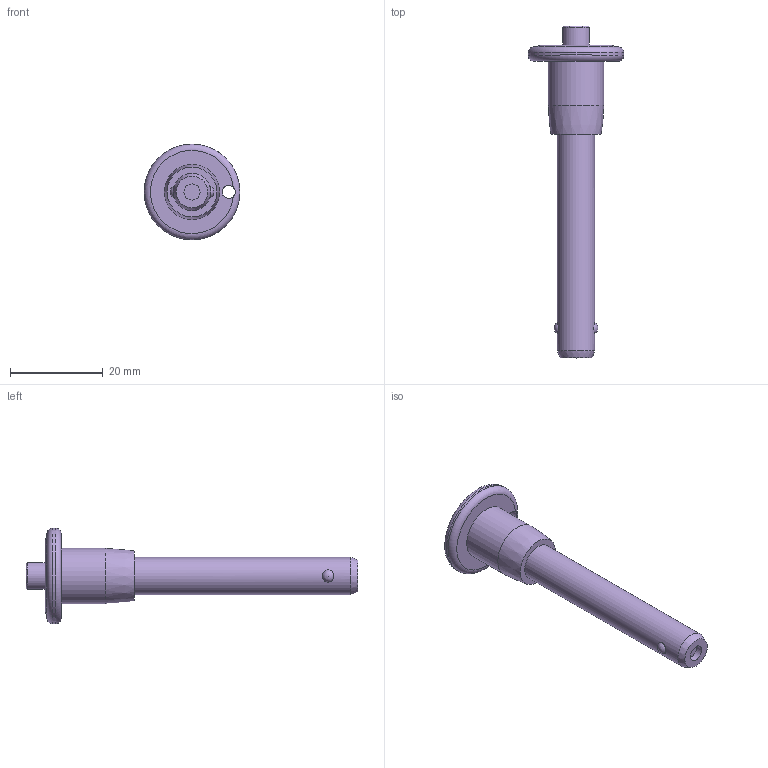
import cadquery as cq
import math


shank_radius = 8.0 / 2
shank_length = 48.1
nose_length = 1.55
nose_end_radius = 3.4
nose_bulge = 0.08
bore_radius = 3.45 / 2
bore_depth = 1.5

ball_radius = 2.8 / 2
ball_reach = 4.7
ball_from_tip = 6.42

collar_radius = 11.9 / 2
collar_length = 15.7
taper_length = 6.25
taper_end_radius = 5.37

flange_radius = 20.6 / 2
flange_thickness = 3.5
front_edge_radius = 1.35
rim_band = 0.45
back_edge_radius = 1.3
crown_edge_inset = 1.25
crown_flat_radius = 7.5
lanyard_hole_radius = 2.8 / 2
lanyard_hole_offset = 7.9

button_radius = 5.8 / 2
overall_length = 71.4
button_chamfer = 0.25

tip_y = -shank_length
nose_y = tip_y + nose_length
flange_front_y = collar_length
flange_back_y = flange_front_y + flange_thickness
button_end_y = overall_length - shank_length


def revolve_about_y(profile):
    """Close a half profile (X is the radius) and turn it about the Y axis."""
    return profile.close().revolve(360, (0, 0, 0), (0, 1, 0))


def make_shank():
    """Round shank with a slightly bulged nose, running back into the collar."""
    mid_radius = (shank_radius + nose_end_radius) / 2 + nose_bulge
    mid_y = (nose_y + tip_y) / 2
    profile = (
        cq.Workplane("XY")
        .moveTo(0, tip_y)
        .lineTo(nose_end_radius, tip_y)
        .threePointArc((mid_radius, mid_y), (shank_radius, nose_y))
        .lineTo(shank_radius, taper_length)
        .lineTo(0, taper_length)
    )
    return revolve_about_y(profile)


def make_collar():
    """Cylinder whose front end curves inward, tangent to the cylinder."""
    profile = (
        cq.Workplane("XY")
        .moveTo(0, flange_back_y)
        .lineTo(collar_radius, flange_back_y)
        .lineTo(collar_radius, taper_length)
        .tangentArcPoint((taper_end_radius, 0), relative=False)
        .lineTo(0, 0)
    )
    return revolve_about_y(profile)


def make_flange():
    """Disc with a rounded front edge, a narrow rim and a crowned back."""
    front_arc_end_y = flange_front_y + front_edge_radius
    back_arc_start_y = front_arc_end_y + rim_band
    crown_edge_radius = flange_radius - crown_edge_inset
    back_arc_rise = math.sqrt(back_edge_radius**2 - (back_edge_radius - crown_edge_inset) ** 2)
    profile = (
        cq.Workplane("XY")
        .moveTo(0, flange_front_y)
        .lineTo(flange_radius - front_edge_radius, flange_front_y)
        .tangentArcPoint((flange_radius, front_arc_end_y), relative=False)
        .lineTo(flange_radius, back_arc_start_y)
        .tangentArcPoint((crown_edge_radius, back_arc_start_y + back_arc_rise), relative=False)
        .lineTo(crown_flat_radius, flange_back_y)
        .lineTo(0, flange_back_y)
    )
    return revolve_about_y(profile)


def cylinder_along_y(radius, start_y, end_y, offset_x=0):
    start = cq.Vector(offset_x, start_y, 0)
    return cq.Workplane(cq.Solid.makeCylinder(radius, end_y - start_y, start, cq.Vector(0, 1, 0)))


def make_button():
    """Release button standing out behind the flange."""
    button = cylinder_along_y(button_radius, flange_front_y, button_end_y)
    return button.faces(">Y").chamfer(button_chamfer)


def make_ball(side):
    """Locking ball on the +X (side = 1) or -X (side = -1) flank of the shank."""
    ball = cq.Workplane(cq.Solid.makeSphere(ball_radius, angleDegrees1=-90))
    center_x = side * (ball_reach - ball_radius)
    return ball.rotate((0, 0, 0), (0, 1, 0), 90).translate((center_x, tip_y + ball_from_tip, 0))


pin = make_shank().union(make_collar()).union(make_flange()).union(make_button())
for side in (-1, 1):
    pin = pin.union(make_ball(side))

bore = cylinder_along_y(bore_radius, tip_y, tip_y + bore_depth)
lanyard_hole = cylinder_along_y(lanyard_hole_radius, flange_front_y, flange_back_y, lanyard_hole_offset)
result = pin.cut(bore).cut(lanyard_hole)